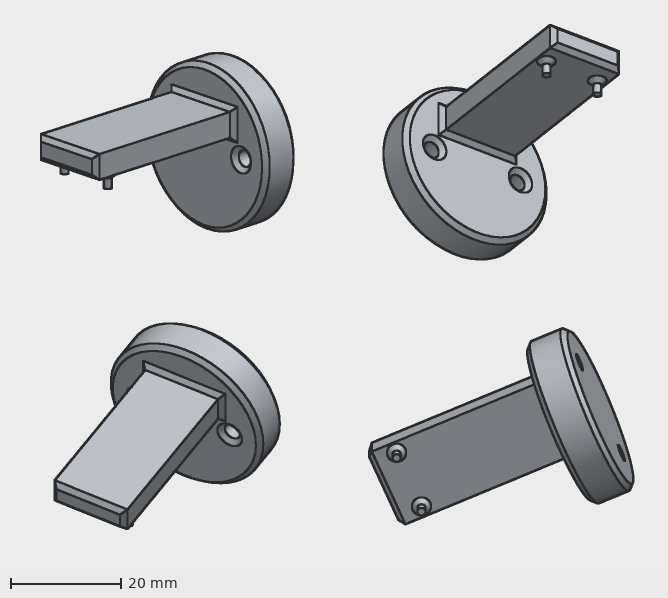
import cadquery as cq

total_length = 43.0
disc_diameter = 32.0
disc_thickness = 8.0
edge_size = 1.0

arm_width = 15.25
arm_height = 5.0
arm_bottom = 4.0
arm_length = total_length - disc_thickness
arm_middle = arm_bottom + arm_height / 2

hole_diameter = 3.2
hole_offset = 9.5

pin_diameter = 1.5
pin_length = 3.0
pin_offset = 5.65
pin_tip_distance = 5.05
pin_y = pin_tip_distance - arm_length


def make_disc():
    """Disc with both rims chamfered; its front face lies at Y = 0."""
    disc = cq.Workplane("XZ").circle(disc_diameter / 2).extrude(-disc_thickness)
    return disc.edges().chamfer(edge_size)


def make_arm():
    """Rectangular arm with a chamfered tip and a flared root."""
    face = cq.Workplane("XZ").center(0, arm_middle)
    arm = face.rect(arm_width, arm_height).extrude(arm_length)
    arm = arm.faces("<Y").edges().chamfer(edge_size)
    flare = (
        face.rect(arm_width + 2 * edge_size, arm_height + 2 * edge_size)
        .workplane(offset=edge_size)
        .rect(arm_width, arm_height)
        .loft(ruled=True)
    )
    return arm.union(flare)


def make_pin(x):
    """Pin hanging from the underside of the arm, with a conical root."""
    radius = pin_diameter / 2
    base = cq.Vector(x, pin_y, arm_bottom)
    down = cq.Vector(0, 0, -1)
    shaft = cq.Solid.makeCylinder(radius, pin_length, base, down)
    root = cq.Solid.makeCone(radius + edge_size, radius, edge_size, base, down)
    return shaft.fuse(root)


def make_hole_cutter(x):
    """Through hole with a 45 degree countersink in the front face."""
    radius = hole_diameter / 2
    mouth = cq.Vector(x, 0, 0)
    inward = cq.Vector(0, 1, 0)
    bore = cq.Solid.makeCylinder(radius, disc_thickness, mouth, inward)
    countersink = cq.Solid.makeCone(radius + edge_size, radius, edge_size, mouth, inward)
    return bore.fuse(countersink)


result = make_disc().union(make_arm())
for side in (-1, 1):
    result = result.union(cq.Workplane(make_pin(side * pin_offset)))
    result = result.cut(cq.Workplane(make_hole_cutter(side * hole_offset)))